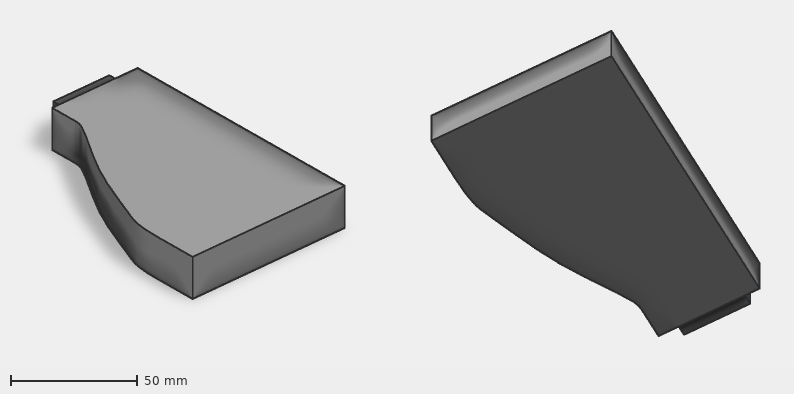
import cadquery as cq

length = 130.0
width = 81.5
thickness = 19.5

tongue_length = 7.5
tongue_width = 30.0
tongue_height = 10.0
tongue_back_inset = 8.3
tongue_top_inset = 3.4

narrow_width = 45.8
flank_start_x = 21.0
flank_end_x = 110.0
flank_start_y = width - narrow_width
slope_start = (28.3, 33.5)
slope_end = (56.3, 17.2)
lower_bend = (88.4, 3.6)


def make_plate():
    """Plate whose front side widens along a smooth S-shaped flank."""
    return (
        cq.Workplane("XY")
        .moveTo(tongue_length, width)
        .lineTo(tongue_length, flank_start_y)
        .lineTo(flank_start_x, flank_start_y)
        .spline(
            [slope_start, slope_end, lower_bend, (flank_end_x, 0)],
            tangents=[(1, 0), (1, 0)],
            includeCurrent=True,
        )
        .lineTo(length, 0)
        .lineTo(length, width)
        .close()
        .extrude(thickness)
    )


def make_tongue():
    """Rectangular tongue standing out from the narrow end."""
    return cq.Workplane("XY").box(
        tongue_length, tongue_width, tongue_height, centered=False
    ).translate((
        0,
        width - tongue_back_inset - tongue_width,
        thickness - tongue_top_inset - tongue_height,
    ))


result = make_plate().union(make_tongue())